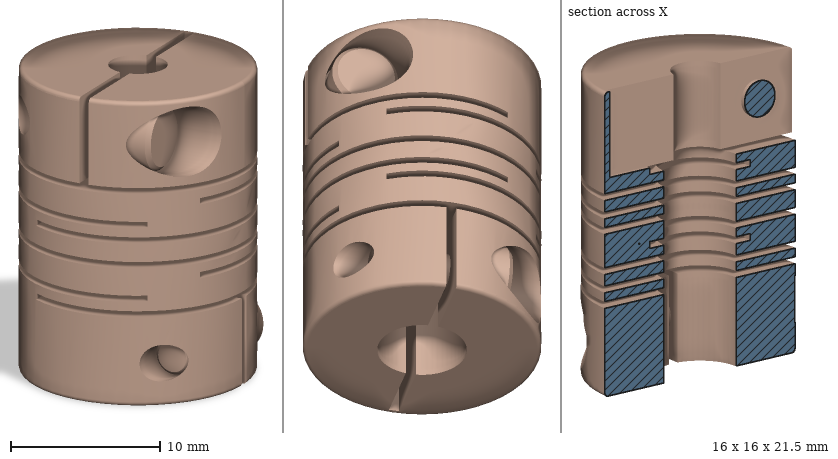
import cadquery as cq


length = 21.5
outer_radius = 8.0
edge_fillet = 0.3
upper_bore_radius = 2.0
lower_bore_radius = 3.0

cut_width = 0.45
uncut_segment_offset = 4.2
first_cut_depth = 6.06
opposed_cut_spacing = 1.1
crossed_pair_spacing = 2.39
group_spacing = 5.22

slit_width = 0.7
slit_end = 7.55

screw_offset = 5.0
screw_end_distance = 3.0
shank_radius = 1.3
shank_tip = -4.8
tip_chamfer = 0.24
head_radius = 2.28
head_top = 4.52
head_chamfer = 0.3
counterbore_radius = 2.45
counterbore_floor = 2.02

upper_hub_base = length - first_cut_depth
lower_hub_top = upper_hub_base - cut_width - group_spacing - crossed_pair_spacing - opposed_cut_spacing


def cylinder_along_x(radius, x_start, x_end):
    """Cylinder on the X axis between two X positions."""
    return cq.Workplane("YZ").workplane(offset=x_start).circle(radius).extrude(x_end - x_start)


def bored_body():
    """Round body with rounded rims and a bore that widens below the upper hub."""
    body = cq.Workplane("XY").circle(outer_radius).extrude(length)
    body = body.faces("<Z or >Z").edges().fillet(edge_fillet)
    upper_bore = cq.Workplane("XY").circle(upper_bore_radius).extrude(length)
    lower_bore = cq.Workplane("XY").circle(lower_bore_radius).extrude(upper_hub_base)
    return body.cut(upper_bore).cut(lower_bore)


def flexure_cut(top, turn):
    """Slot that leaves the +Y segment standing, then turned about Z by the given angle."""
    cut_length = outer_radius + uncut_segment_offset
    slot = cq.Workplane("XY").box(2 * outer_radius, cut_length, cut_width, centered=(True, False, False))
    slot = slot.translate((0, -outer_radius, top - cut_width))
    return slot.rotate((0, 0, 0), (0, 0, 1), turn)


def flexure_cuts():
    """Two groups of four cuts, each an opposed Y pair followed by an opposed X pair."""
    cuts = cq.Workplane("XY")
    for group in range(2):
        for pair, pair_turn in enumerate((0, -90)):
            for side in range(2):
                drop = group * group_spacing + pair * crossed_pair_spacing + side * opposed_cut_spacing
                cuts = cuts.add(flexure_cut(upper_hub_base - drop, pair_turn + 180 * side))
    return cuts.combine()


def clamp_slit(base, height):
    """Slit open at -Y that stops short of the +Y wall to leave a thin hinge."""
    slit = cq.Workplane("XY").box(slit_width, outer_radius + slit_end, height, centered=(True, False, False))
    return slit.translate((0, -outer_radius, base))


def screw_pocket():
    """Through hole and head counterbore along X."""
    hole = cylinder_along_x(shank_radius, -outer_radius, outer_radius)
    return hole.union(cylinder_along_x(counterbore_radius, counterbore_floor, outer_radius))


def clamp_screw():
    """Cap screw along X with chamfered tip and head."""
    shank = cylinder_along_x(shank_radius, shank_tip, counterbore_floor)
    shank = shank.faces("<X").chamfer(tip_chamfer)
    head = cylinder_along_x(head_radius, counterbore_floor, head_top)
    head = head.faces(">X").chamfer(head_chamfer)
    return shank.union(head)


def add_clamp(body, slit_base, slit_height, screw_height, turn):
    """Cut a clamping slit and screw pocket in a hub, then fit the screw."""
    screw_place = (0, -screw_offset, screw_height)
    slit = clamp_slit(slit_base, slit_height)
    pocket = screw_pocket().translate(screw_place)
    screw = clamp_screw().translate(screw_place)
    slit, pocket, screw = [shape.rotate((0, 0, 0), (0, 0, 1), turn) for shape in (slit, pocket, screw)]
    return body.cut(slit).cut(pocket).union(screw)


result = bored_body().cut(flexure_cuts())
result = add_clamp(result, upper_hub_base, first_cut_depth, length - screw_end_distance, 0)
result = add_clamp(result, 0, lower_hub_top, screw_end_distance, 90)